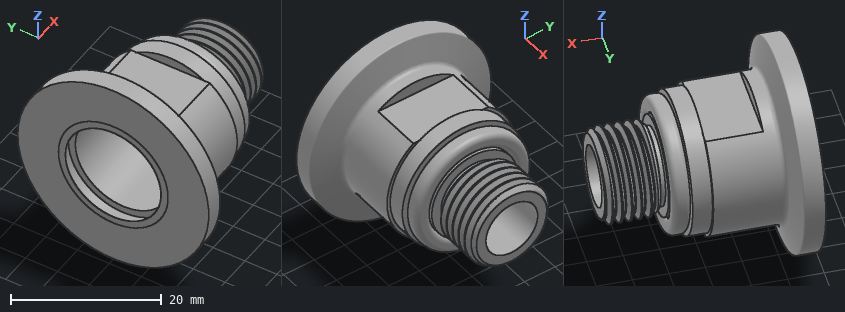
import cadquery as cq
import math


flange_radius = 15.0
rim_round = 0.25
taper_angle = 15.0
taper_fillet = 0.65
flange_back_root = 4.17

body_radius = 10.5
collar_radius = 10.0
collar_start = 14.28
collar_end = 17.0
flat_start = 6.35
flat_offset = 8.5

seal_inner_diameter = 14.0
seal_inner_radius = seal_inner_diameter / 2
seal_section = 2.55
seal_corner = 0.9
seal_outer_radius = seal_inner_radius + seal_section
seal_end = collar_end + seal_section

neck_radius = 5.5
thread_start = 20.28
overall_length = 28.0
thread_core_radius = 5.82
thread_tip_radius = 6.65
helix_turns = 8
helix_length = 10.7
thread_pitch = helix_length / helix_turns
thread_root_width = 1.17
thread_crest_width = 0.2
thread_embed = 0.1
envelope_clearance = 0.1
helix_start = 18.75

main_bore_radius = 7.5
main_bore_depth = collar_start
through_bore_radius = 4.25
recess_start = 0.03
recess_end = 2.5
recess_diameter = 17.2


def cylinder(radius, start, end):
    """Solid cylinder along X between two stations."""
    return cq.Workplane("YZ", origin=(start, 0, 0)).circle(radius).extrude(end - start)


def make_flange():
    """Flange disc whose back tapers down to the wrench body through a fillet."""
    taper_rise = (flange_radius - body_radius) * math.tan(math.radians(taper_angle))
    profile = (
        cq.Workplane("XY")
        .lineTo(0, flange_radius)
        .lineTo(flange_back_root - taper_rise, flange_radius)
        .lineTo(flange_back_root, body_radius)
        .lineTo(flat_start, body_radius)
        .lineTo(flat_start, 0)
        .close()
    )
    flange = profile.revolve(360, (0, 0, 0), (1, 0, 0))
    root_point = (flange_back_root, 0, body_radius)
    flange = flange.edges(cq.selectors.NearestToPointSelector(root_point)).fillet(taper_fillet)
    rim_point = (flange_back_root - taper_rise, 0, flange_radius)
    return flange.edges(cq.selectors.NearestToPointSelector(rim_point)).fillet(rim_round)


def make_thread():
    """Right-handed external thread, bevelled at 45 degrees at both ends."""
    helix = cq.Wire.makeHelix(thread_pitch, helix_length, thread_core_radius)
    root_radius = thread_core_radius - thread_embed
    flank_slope = (thread_root_width - thread_crest_width) / (thread_tip_radius - thread_core_radius)
    half_root = (thread_root_width + flank_slope * thread_embed) / 2
    half_crest = thread_crest_width / 2
    ridge = (
        cq.Workplane("XZ")
        .polyline([
            (root_radius, -half_root),
            (thread_tip_radius, -half_crest),
            (thread_tip_radius, half_crest),
            (root_radius, half_root),
        ])
        .close()
        .sweep(cq.Workplane(obj=helix), isFrenet=True)
        .rotate((0, 0, 0), (0, 1, 0), 90)
        .translate((helix_start, 0, 0))
    )
    envelope_radius = thread_tip_radius + envelope_clearance
    bevel = envelope_radius - thread_core_radius
    envelope = cylinder(envelope_radius, thread_start, overall_length).edges().chamfer(bevel)
    core = cylinder(thread_core_radius, thread_start, overall_length)
    return core.union(ridge.intersect(envelope))


def cut_wrench_flats(body):
    """Remove the two opposite wrench flats above and below the axis."""
    flat_length = collar_start - flat_start
    cut_height = flange_radius - flat_offset
    for side in (-1, 1):
        center_z = side * (flat_offset + cut_height / 2)
        cutter = cq.Workplane("XY").box(flat_length, 2 * flange_radius, cut_height)
        body = body.cut(cutter.translate((flat_start + flat_length / 2, 0, center_z)))
    return body


def cut_bores(body):
    """Through hole, main bore and the wider recess behind a thin lip at the flange face."""
    body = body.cut(cylinder(through_bore_radius, 0, overall_length))
    body = body.cut(cylinder(main_bore_radius, 0, main_bore_depth))
    return body.cut(cylinder(recess_diameter / 2, recess_start, recess_end))


def make_housing():
    body = make_flange().union(cylinder(body_radius, flat_start, collar_start))
    body = cut_wrench_flats(body)
    body = body.union(cylinder(collar_radius, collar_start, collar_end))
    body = body.union(cylinder(seal_inner_radius, collar_end, seal_end))
    body = body.union(cylinder(neck_radius, seal_end, thread_start))
    body = body.union(make_thread())
    return cut_bores(body)


def make_seal_ring():
    """Ring with a rounded square section, seated against the collar."""
    ring = cylinder(seal_outer_radius, collar_end, seal_end)
    ring = ring.cut(cylinder(seal_inner_radius, collar_end, seal_end))
    return ring.edges("%CIRCLE").fillet(seal_corner)


housing = make_housing()
seal_ring = make_seal_ring()
result = cq.Compound.makeCompound([housing.solids().val(), seal_ring.solids().val()])